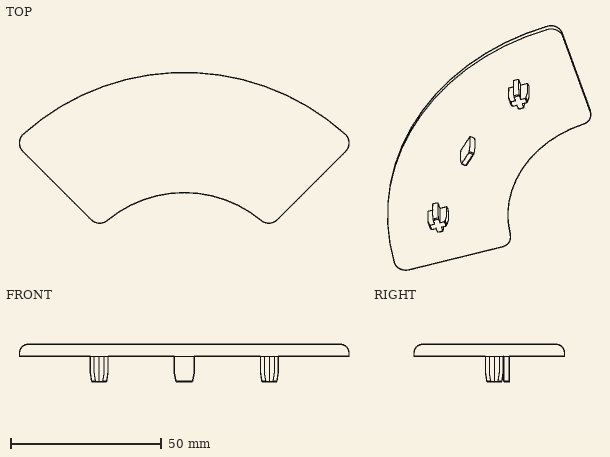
import cadquery as cq
import math

outer_radius = 80.0
inner_radius = 39.9
plate_thickness = 4.1
edge_radius = 3.0
corner_radius = 4.0

peg_length = 8.4
peg_radius = 3.4
taper_length = 3.0
taper_inset = 0.5
tip_chamfer = 0.3
rib_thickness = 1.9

cross_x = 28.3
cross_y = 56.5
tab_y = 60.5


def make_plate():
    outer_corner = outer_radius / math.sqrt(2)
    inner_corner = inner_radius / math.sqrt(2)
    return (
        cq.Workplane("XY")
        .moveTo(-outer_corner, outer_corner)
        .threePointArc((0, outer_radius), (outer_corner, outer_corner))
        .lineTo(inner_corner, inner_corner)
        .threePointArc((0, inner_radius), (-inner_corner, inner_corner))
        .close()
        .extrude(plate_thickness)
        .edges("|Z")
        .fillet(corner_radius)
        .faces(">Z")
        .edges()
        .fillet(edge_radius)
    )


def make_pin():
    """Round pin hanging below Z = 0, with a conical lead-in and a chamfered tip."""
    tip_radius = peg_radius - taper_inset
    return (
        cq.Workplane("XZ")
        .polyline([
            (0, 0),
            (peg_radius, 0),
            (peg_radius, taper_length - peg_length),
            (tip_radius, tip_chamfer - peg_length),
            (tip_radius - tip_chamfer, -peg_length),
            (0, -peg_length),
        ])
        .close()
        .revolve(360, (0, 0, 0), (0, 1, 0))
    )


def make_rib():
    """Slab of the pin along X: flat front and back, round narrow sides."""
    slab = (
        cq.Workplane("XY")
        .rect(2 * peg_radius, rib_thickness)
        .extrude(-peg_length)
    )
    return make_pin().intersect(slab)


def make_cross_peg():
    """Two ribs crossing at right angles, at 45 degrees to the X axis."""
    rib = make_rib()
    axis_end = (0, 0, 1)
    return rib.rotate((0, 0, 0), axis_end, 45).union(rib.rotate((0, 0, 0), axis_end, -45))


def make_tab_peg():
    """Single rib with its front bottom edge chamfered."""
    return make_rib().faces("<Y").edges("<Z").chamfer(tip_chamfer)


result = make_plate().union(make_tab_peg().translate((0, tab_y, 0)))
for side in (-1, 1):
    result = result.union(make_cross_peg().translate((side * cross_x, cross_y, 0)))